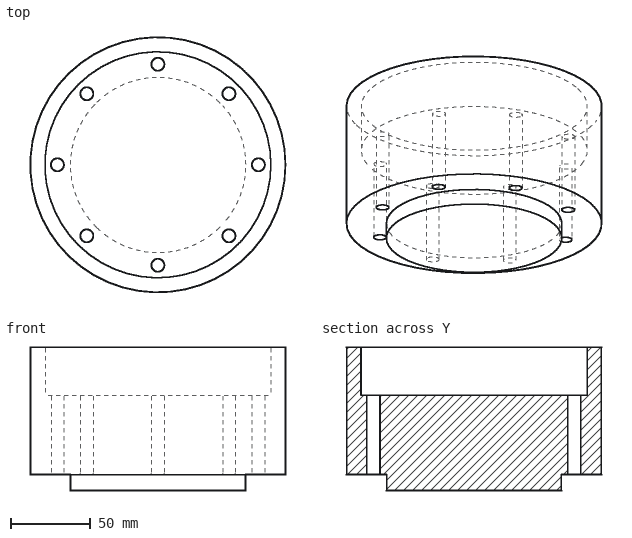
import cadquery as cq

body_diameter = 160.0
total_height = 90.0
body_height = 80.0
boss_diameter = 110.0
boss_height = total_height - body_height

recess_diameter = 141.6
recess_depth = 30.1

hole_count = 8
hole_diameter = 8.0
hole_circle_diameter = 126.0

boss = cq.Workplane("XY").circle(boss_diameter / 2).extrude(boss_height)
body = cq.Workplane("XY").workplane(offset=boss_height).circle(body_diameter / 2).extrude(body_height)

recess = (
    cq.Workplane("XY")
    .workplane(offset=total_height - recess_depth)
    .circle(recess_diameter / 2)
    .extrude(recess_depth)
)

holes = (
    cq.Workplane("XY")
    .polarArray(hole_circle_diameter / 2, 0, 360, hole_count)
    .circle(hole_diameter / 2)
    .extrude(total_height)
)

result = boss.union(body).cut(recess).cut(holes)